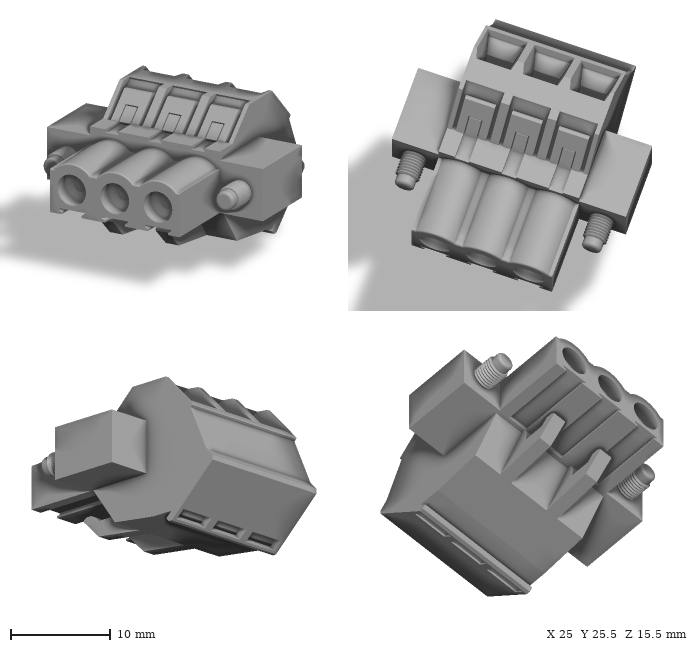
import cadquery as cq
import math


poles = 3
pitch = 5.0
body_width = poles * pitch
flange_width = body_width + 2 * pitch
pole_centers = [(i - (poles - 1) / 2) * pitch for i in range(poles)]

top_z = 6.9
step_z = 3.8
rear_y = 17.3
socket_length = 25.5 - rear_y
block_bottom = -2.78
flange_top = 2.83
flange_depth = 8.0

front_foot = (2.63, step_z)
front_crest = (6.02, top_z)
rear_crest = (10.7, top_z)
front_angle = math.atan2(front_crest[1] - front_foot[1], front_crest[0] - front_foot[0])

rear_lower_corner = (rear_y, -3.5)
rear_outline = [
    (14.43, 3.2), (14.43, 3.0), (14.18, 2.8), (16.42, -2.1), (rear_y, -2.98), rear_lower_corner,
]

underside_front = (-2.17, -6.22)
underside_rear = (8.98, -7.57)
underside_slope = (underside_rear[1] - underside_front[1]) / (underside_rear[0] - underside_front[0])
relief_top = (0.48, block_bottom)
relief_bottom_y = 3.55
relief_bottom = (
    relief_bottom_y,
    underside_front[1] + (relief_bottom_y - underside_front[0]) * underside_slope,
)

recess_width = 4.08
recess_length = 5.4
recess_depth_low = 0.9
recess_depth_high = 1.12
lever_width = 3.21
lever_length = 3.75
lever_ledge = 0.3
lever_bevel = 0.15
lever_height = 1.22
groove_width = 1.5
groove_length = 2.05
groove_depth = 0.38
pad_margin = 0.13
channel_z = 3.42

funnel_width = 4.28
funnel_front = -0.8
funnel_rear = 4.56
funnel_wall = 0.76
shaft_rear = 3.25
shaft_start = 2.07
shaft_width = 2.75
shaft_ledge_depth = 3.1
shaft_ledge = 0.08
shaft_end = 5.1

lip_tip = (11.58, -8.6)
lip_root = (11.48, underside_rear[1])
lip_outline = [lip_tip, (11.15, lip_tip[1]), (10.79, -8.2), lip_root]
lip_slot_front = (11.22, -7.78)
lip_slot_length = 1.28
lip_slot_depth = 1.02
latch_width = 1.53
latch_offset = 3.25
latch_corner_radius = 0.35
latch_floor = -4.56
latch_floor_front = -2.42
hook_outline = [(-3.2, -3.8), (-3.75, -3.77), (-4.2, -3.98), (-4.25, -4.2)]

web_z = 1.89
socket_outer_radius = flange_top
socket_edge_radius = 0.18
socket_radius = 1.65
socket_bore_depth = 1.45
contact_radius = 0.76
bore_cone_depth = 0.38
keyway_width = 3.05
keyway_mouth = 2.32
keyway_top = -2.17
keyway_shoulder = -2.37
keyway_neck = -2.55

screw_x = 2 * pitch
thread_radius = 1.28
thread_root_radius = 1.12
thread_pitch = 0.3
thread_turns = 8
thread_end = 2.5
tip_radius = 1.02
tip_end = 3.55
tip_fillet = 0.33

clearance = 0.5


def extrude_across(profile, x_center, width):
    """Extrude a YZ profile along X, centred on x_center."""
    return profile.extrude(width / 2, both=True).translate((x_center, 0, 0))


def on_face(origin, angle):
    """Section plane with its first axis along a sloped face and its second pointing out of it."""
    direction = (0, math.cos(angle), math.sin(angle))
    return cq.Workplane(cq.Plane(origin=(0, *origin), xDir=direction, normal=(1, 0, 0)))


def make_housing():
    """Housing without latches; its lower front is cut back by the sloped latch relief."""
    outline = [
        (0, block_bottom), (0, step_z), front_foot, front_crest, rear_crest,
        *rear_outline, *lip_outline, underside_rear, relief_bottom, relief_top,
    ]
    return extrude_across(cq.Workplane("YZ").polyline(outline).close(), 0, body_width)


def make_latch(x_center):
    """Latch arm with an upturned hook, reaching forward under the socket block."""
    profile = (
        cq.Workplane("YZ")
        .moveTo(0, block_bottom)
        .lineTo(0, latch_floor + latch_corner_radius)
        .radiusArc((-latch_corner_radius, latch_floor), latch_corner_radius)
        .lineTo(latch_floor_front, latch_floor)
    )
    for point in hook_outline + [underside_front, relief_bottom, (relief_bottom_y, block_bottom)]:
        profile = profile.lineTo(*point)
    profile = profile.close()
    return extrude_across(profile, x_center, latch_width)


def make_flanges():
    return cq.Workplane("XY").box(
        flange_width, flange_depth, flange_top - block_bottom, centered=(True, False, False)
    ).translate((0, 0, block_bottom))


def make_socket_block():
    """Flat block carrying a round-topped barrel for each pole, rounded along the upper front edges."""
    base = cq.Workplane("XY").box(
        body_width, socket_length, web_z - block_bottom, centered=(True, False, False)
    ).translate((0, -socket_length, block_bottom))
    block = base.faces("<Y").edges(">Z").fillet(socket_edge_radius)
    barrel = cq.Workplane("XZ").circle(socket_outer_radius).extrude(socket_length)
    barrel = barrel.faces("<Y").edges().fillet(socket_edge_radius)
    barrel_limits = cq.Workplane("XY").box(
        pitch, 2 * socket_length, socket_outer_radius, centered=(True, True, False)
    )
    barrel_top = barrel.intersect(barrel_limits)
    for x in pole_centers:
        block = block.union(barrel_top.translate((x, 0, 0)))
    return block


def make_socket_bore(x):
    """Round bore with a shallow cone down to the flat contact."""
    cone_end = socket_bore_depth + bore_cone_depth
    section = [
        (0, 0), (socket_radius, 0), (socket_radius, socket_bore_depth),
        (contact_radius, cone_end), (0, cone_end),
    ]
    bore = cq.Workplane("XY").polyline(section).close().revolve(360, (0, 0), (0, 1))
    return bore.translate((x, -socket_length, 0))


def make_keyway(x):
    """Undercut coding slot along the underside of the socket block."""
    wide = keyway_width / 2
    narrow = keyway_mouth / 2
    right_side = [
        (wide, keyway_top), (wide, keyway_shoulder), (narrow, keyway_neck),
        (narrow, block_bottom - clearance),
    ]
    left_side = [(-px, pz) for px, pz in reversed(right_side)]
    keyway = cq.Workplane("XZ").polyline(right_side + left_side).close().extrude(socket_length)
    return keyway.translate((x, 0, 0))


def make_front_recess(x):
    outline = [
        (0, clearance), (0, -recess_depth_low),
        (recess_length, -recess_depth_high), (recess_length, clearance),
    ]
    return extrude_across(on_face(front_foot, front_angle).polyline(outline).close(), x, recess_width)


def make_lever(x):
    """Lever flush with the sloped face, with a level ledge and an upright back wall."""
    edge_y = front_foot[0] + lever_length * math.cos(front_angle)
    edge_z = front_foot[1] + lever_length * math.sin(front_angle)
    ledge_y = edge_y + lever_ledge
    back_y = ledge_y + lever_bevel
    buried_foot = (
        front_foot[0] + recess_depth_high * math.sin(front_angle),
        front_foot[1] - recess_depth_high * math.cos(front_angle),
    )
    outline = [
        front_foot, (edge_y, edge_z), (ledge_y, edge_z), (back_y, edge_z - lever_bevel),
        (back_y, edge_z - lever_height), buried_foot,
    ]
    return extrude_across(cq.Workplane("YZ").polyline(outline).close(), x, lever_width)


def make_face_block(x, length, width):
    """Block from the foot of the sloped front face upwards, reaching groove depth into it."""
    outline = [(0, clearance), (0, -groove_depth), (length, -groove_depth), (length, clearance)]
    return extrude_across(on_face(front_foot, front_angle).polyline(outline).close(), x, width)


def make_lever_groove(x):
    """Narrow groove round three sides of a pad that stays flush with the lever."""
    pocket = make_face_block(x, groove_length, groove_width)
    pad = make_face_block(x, groove_length - pad_margin, groove_width - 2 * pad_margin)
    return pocket.cut(pad)


def make_step_channel(x):
    """Channel in the step, ending under the overhanging foot of the lever."""
    undercut_y = front_foot[0] + (step_z - channel_z) * math.tan(front_angle)
    outline = [
        (-clearance, step_z + clearance), (-clearance, channel_z), (undercut_y, channel_z),
        front_foot, (front_foot[0] - clearance, step_z + clearance),
    ]
    return extrude_across(cq.Workplane("YZ").polyline(outline).close(), x, groove_width)


def make_wire_funnel(x):
    """Funnel with converging side walls, leading into a rectangular wire shaft."""
    face = on_face(rear_crest, -math.pi / 4)
    section = face.polyline([
        (funnel_front, clearance), (funnel_rear, clearance), (funnel_rear, -funnel_wall),
        (shaft_rear, -shaft_start), (shaft_rear, -shaft_ledge_depth),
        (shaft_rear - shaft_ledge, -shaft_ledge_depth), (shaft_rear - shaft_ledge, -shaft_end),
        (funnel_front, -shaft_end),
    ]).close().extrude(funnel_width, both=True)

    flare = (funnel_width - shaft_width) / 2 / shaft_start
    outer_half = funnel_width / 2 + flare * clearance
    right_side = [
        (outer_half, clearance), (shaft_width / 2, -shaft_start), (shaft_width / 2, -shaft_end),
    ]
    left_side = [(-px, depth) for px, depth in reversed(right_side)]
    outward = math.sqrt(0.5)
    side_plane = cq.Plane(
        origin=(0, *rear_crest), xDir=(1, 0, 0), normal=(0, -outward, outward)
    )
    reach = funnel_rear + clearance
    sides = cq.Workplane(side_plane).polyline(right_side + left_side).close().extrude(reach, both=True)
    return section.intersect(sides).translate((x, 0, 0))


def make_lip_slot(x):
    """Slot through the root of the rear lower lip."""
    lip_angle = math.atan2(rear_lower_corner[1] - lip_tip[1], rear_lower_corner[0] - lip_tip[0])
    outline = [
        (0, 0), (lip_slot_length, 0), (lip_slot_length, -lip_slot_depth), (0, -lip_slot_depth),
    ]
    return extrude_across(on_face(lip_slot_front, lip_angle).polyline(outline).close(), x, recess_width)


def make_screw(x):
    """Screw end: ring-shaped thread ridges and a plain rounded tip."""
    section = [(0, clearance), (thread_root_radius, clearance)]
    thread_start = thread_end - thread_turns * thread_pitch
    for turn in range(thread_turns):
        base = thread_start + turn * thread_pitch
        section.append((thread_root_radius, -base))
        section.append((thread_radius, -base - thread_pitch / 2))
    section += [
        (thread_root_radius, -thread_end), (tip_radius, -thread_end),
        (tip_radius, -tip_end), (0, -tip_end),
    ]
    screw = cq.Workplane("XY").polyline(section).close().revolve(360, (0, 0), (0, 1))
    return screw.faces("<Y").edges().fillet(tip_fillet).translate((x, 0, 0))


result = make_housing().union(make_flanges()).union(make_socket_block())

for side in (-1, 1):
    result = result.union(make_latch(side * latch_offset))
    result = result.union(make_screw(side * screw_x))

for pole_x in pole_centers:
    result = result.cut(make_socket_bore(pole_x)).cut(make_keyway(pole_x))
    result = result.cut(make_front_recess(pole_x)).union(make_lever(pole_x))
    result = result.cut(make_lever_groove(pole_x)).cut(make_step_channel(pole_x))
    result = result.cut(make_wire_funnel(pole_x)).cut(make_lip_slot(pole_x))